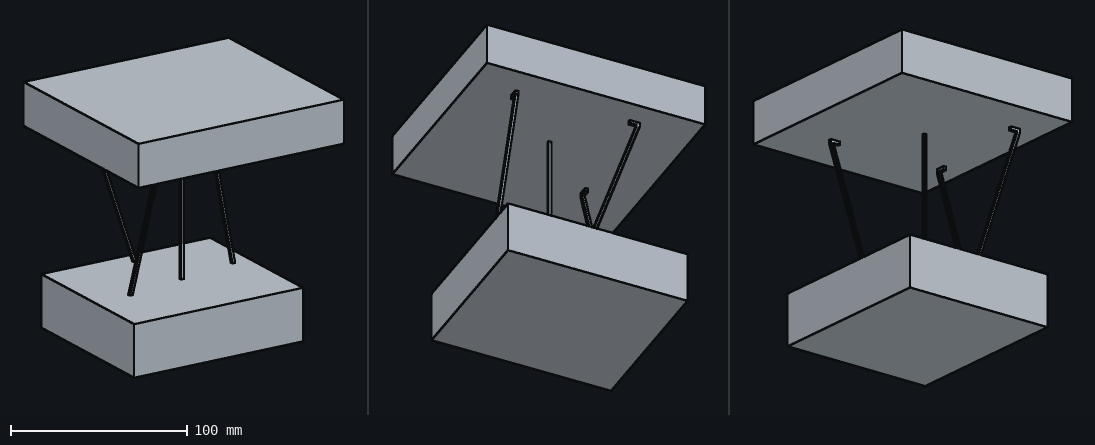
import cadquery as cq

base_x = 98.8
base_y = 113.5
base_height = 32.5

top_x = 122.1
top_y = 137.8
top_height = 26.7
top_shift_x = 6.4
top_shift_y = 3.7

total_height = 148.4
top_underside = total_height - top_height
gap = top_underside - base_height

rod_width = 1.8
post_y = 6.4
ring_radius = 38.9
leg_angles = (90, 180, 270)

leg_start = 7.1
leg_reach = 37.5
foot_length = 6.2
foot_thickness = 2.0
bend_depth = 2.5
leg_run = 2.0


def block(size_x, size_y, height, center_x, center_y, bottom):
    return cq.Workplane("XY").box(size_x, size_y, height, centered=(True, True, False)).translate(
        (center_x, center_y, bottom)
    )


def leaning_leg(angle):
    """Slanted rod with a flat inward foot, turned around the centre post."""
    foot_bottom = top_underside - foot_thickness
    bend_level = top_underside - bend_depth
    outline = [
        (leg_start - leg_run / 2, base_height),
        (leg_start + leg_run / 2, base_height),
        (leg_reach, bend_level),
        (leg_reach, top_underside),
        (leg_reach - foot_length, top_underside),
        (leg_reach - foot_length, foot_bottom),
        (leg_reach - leg_run, foot_bottom),
        (leg_reach - leg_run, bend_level),
    ]
    leg = cq.Workplane("XZ").polyline(outline).close().extrude(rod_width / 2, both=True)
    leg = leg.translate((0, -ring_radius, 0))
    return leg.rotate((0, 0, 0), (0, 0, 1), angle - 270).translate((0, post_y, 0))


base = block(base_x, base_y, base_height, 0, 0, 0)
top = block(top_x, top_y, top_height, top_shift_x, top_shift_y, top_underside)
post = block(rod_width, rod_width, gap, 0, post_y, base_height)

result = base.union(post).union(top)
for leg_angle in leg_angles:
    result = result.union(leaning_leg(leg_angle))